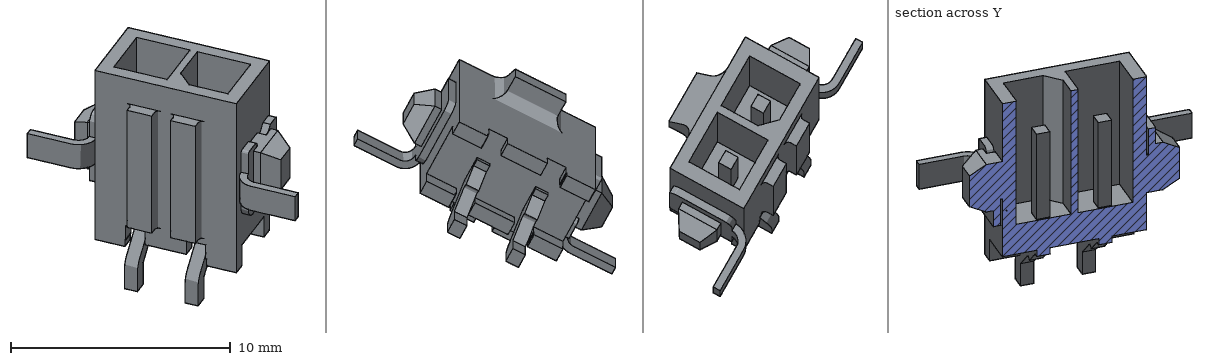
import cadquery as cq
import math


BODY_WIDTH = 7.0
BODY_DEPTH = 3.85
BODY_HEIGHT = 9.23
FRONT = -BODY_DEPTH / 2
BACK = BODY_DEPTH / 2
PITCH = 3.0
SIDES = (-1, 1)
CONTACT_XS = [side * PITCH / 2 for side in SIDES]

CAVITY_SIZE = 2.64
CAVITY_DEPTH = 6.5
KEY_CHAMFER = 0.72
CAVITY_FLOOR = BODY_HEIGHT - CAVITY_DEPTH

FOOT_THICKNESS = 0.65
RELIEF_HEIGHT = 1.13
SLOT_INNER_X = 1.02
SLOT_OUTER_X = 1.98
FOOT_INNER_X = 2.02
MIDDLE_FOOT_Z = 0.36

FRONT_REACH = 0.52
RIB_X = 1.077
RIB_WIDTH = 1.22
RIB_BOTTOM = 1.45
RIB_TOP = 7.84
RIB_FILLET = 0.21

LATCH_WIDTH = 2.6
LATCH_REACH = 1.30
LATCH_RAMP_DROP = 1.83
LATCH_TIP_HEIGHT = 1.13
LATCH_UNDERCUT = 0.09
LATCH_FILLET = 0.58

PIN_SIZE = 0.65
PIN_LENGTH = 4.5
TAIL_BOTTOM = -1.93
TAIL_THICKNESS = 0.69
TAIL_BEND_RADIUS = 0.92
TAIL_BACK_Y = FRONT + 2.40
TAIL_SHOULDER_Z = 0.80
TAIL_ROOT_Z = (RELIEF_HEIGHT + CAVITY_FLOOR) / 2
TAIL_FRONT_OFFSET = 0.01
TAIL_STEP_OFFSET = 0.92
TAIL_BACK_OFFSET = 1.27
TAIL_STEP_Z = 0.06
TAIL_STEP_PEAK = (FRONT + 1.19, 0.168)

NAIL_AXIS_Z = 4.63
NAIL_THICKNESS = 0.365
NAIL_INNER_X = -3.57
NAIL_OUTER_X = NAIL_INNER_X - NAIL_THICKNESS
TAB_BEND_INNER = 0.53
TAB_BEND_OUTER = TAB_BEND_INNER + NAIL_THICKNESS
NAIL_FRONT_Y = FRONT - FRONT_REACH + TAB_BEND_OUTER
NAIL_BACK_Y = FRONT + 3.64
NAIL_BOTTOM = 2.81
NAIL_TOP = 6.455
NAIL_TOP_RADIUS = 0.5
NAIL_FOOT_RADIUS = 0.13
TAB_HEIGHT = 1.315
TAB_END_X = -6.625

NECK_FRONT_Y = FRONT + 1.40
NECK_BACK_Y = FRONT + 2.41
NECK_TOP = 5.08
SLOT_ROUND = 0.26
SLOT_CHAMFER = 0.5
HEAD_FRONT_Y = FRONT + 0.955
HEAD_BACK_Y = FRONT + 2.96
HEAD_BOTTOM = 3.08
HEAD_TOP = 5.61
HEAD_STEP_X = -4.285
HEAD_TIP_X = -5.1
TIP_FRONT_Y = FRONT + 1.39
TIP_BACK_Y = FRONT + 2.465
TIP_BOTTOM = 3.52
TIP_TOP = 5.16


def block(x_min, x_max, y_min, y_max, z_min, z_max):
    """Box given by its limits along each axis."""
    size = (x_max - x_min, y_max - y_min, z_max - z_min)
    return cq.Workplane("XY").box(*size, centered=False).translate((x_min, y_min, z_min))


def make_housing():
    """Hollow block with feet below and two cavities open at the top."""
    half_width = BODY_WIDTH / 2
    housing = block(-half_width, half_width, FRONT, BACK, 0, BODY_HEIGHT)

    inner_front = FRONT + FOOT_THICKNESS
    inner_back = BACK - FOOT_THICKNESS
    housing = housing.cut(block(-half_width, half_width, inner_front, inner_back, 0, RELIEF_HEIGHT))
    housing = housing.cut(block(-FOOT_INNER_X, FOOT_INNER_X, FRONT, BACK, 0, MIDDLE_FOOT_Z))
    slot_width = SLOT_OUTER_X - SLOT_INNER_X
    slot_center = (SLOT_OUTER_X + SLOT_INNER_X) / 2
    for side in SIDES:
        slot_left = side * slot_center - slot_width / 2
        housing = housing.cut(block(slot_left, slot_left + slot_width, FRONT, BACK, 0, RELIEF_HEIGHT))

    for x in CONTACT_XS:
        half = CAVITY_SIZE / 2
        cavity = block(x - half, x + half, -half, half, CAVITY_FLOOR, BODY_HEIGHT)
        if x > 0:
            cavity = cavity.edges("|Z and <X and <Y").chamfer(KEY_CHAMFER)
        housing = housing.cut(cavity)
    return housing


def make_rib(x):
    """Upright front rib that flares into the housing with concave fillets."""
    half = RIB_WIDTH / 2
    front = FRONT - FRONT_REACH
    arc_middle = RIB_FILLET * (1 - math.sqrt(0.5))
    flare_y = FRONT - RIB_FILLET
    return (
        cq.Workplane("XY", origin=(x, 0, RIB_BOTTOM))
        .moveTo(-half, front)
        .lineTo(half, front)
        .lineTo(half, flare_y)
        .threePointArc((half + arc_middle, FRONT - arc_middle), (half + RIB_FILLET, FRONT))
        .lineTo(-half - RIB_FILLET, FRONT)
        .threePointArc((-half - arc_middle, FRONT - arc_middle), (-half, flare_y))
        .close()
        .extrude(RIB_TOP - RIB_BOTTOM)
    )


def make_latch():
    """Back latch: a ramp outline along X trimmed by a flared outline along Z."""
    half = LATCH_WIDTH / 2
    tip_y = BACK + LATCH_REACH
    arc_middle = LATCH_FILLET * (1 - math.sqrt(0.5))
    flare_y = BACK + LATCH_FILLET
    flare_half = half + LATCH_FILLET
    plan = (
        cq.Workplane("XY")
        .moveTo(-flare_half, BACK)
        .lineTo(flare_half, BACK)
        .threePointArc((half + arc_middle, BACK + arc_middle), (half, flare_y))
        .lineTo(half, tip_y)
        .lineTo(-half, tip_y)
        .lineTo(-half, flare_y)
        .threePointArc((-half - arc_middle, BACK + arc_middle), (-flare_half, BACK))
        .close()
        .extrude(BODY_HEIGHT)
    )

    tip_top = BODY_HEIGHT - LATCH_RAMP_DROP
    tip_bottom = tip_top - LATCH_TIP_HEIGHT
    under_z = tip_bottom + LATCH_UNDERCUT
    ramp = (
        cq.Workplane("YZ", origin=(-flare_half, 0, 0))
        .moveTo(BACK, BODY_HEIGHT)
        .lineTo(tip_y, tip_top)
        .lineTo(tip_y, tip_bottom)
        .lineTo(flare_y, under_z)
        .threePointArc((BACK + arc_middle, under_z - arc_middle), (BACK, under_z - LATCH_FILLET))
        .close()
        .extrude(2 * flare_half)
    )
    return ramp.intersect(plan)


def make_contact(x):
    """Square pin standing in the cavity and the bent tail leaving below it."""
    half = PIN_SIZE / 2
    pin = block(x - half, x + half, -half, half, RELIEF_HEIGHT, CAVITY_FLOOR + PIN_LENGTH)

    toe_y = FRONT - FRONT_REACH
    heel_y = toe_y + TAIL_THICKNESS
    bend_corner_z = -FRONT_REACH - TAIL_FRONT_OFFSET
    bend_setback = TAIL_BEND_RADIUS * math.tan(math.pi / 8)
    bend_start_z = bend_corner_z - bend_setback
    bend_end_z = bend_corner_z + bend_setback * math.sqrt(0.5)
    root_front_y = FRONT + RELIEF_HEIGHT + TAIL_FRONT_OFFSET
    bend_middle = (
        toe_y + TAIL_BEND_RADIUS * (1 - math.cos(math.pi / 8)),
        bend_start_z + TAIL_BEND_RADIUS * math.sin(math.pi / 8),
    )
    step_front_y = FRONT + TAIL_STEP_Z + TAIL_STEP_OFFSET
    step_back_y = FRONT + TAIL_STEP_Z + TAIL_BACK_OFFSET
    tail = (
        cq.Workplane("YZ", origin=(x - half, 0, 0))
        .moveTo(toe_y, TAIL_BOTTOM)
        .lineTo(toe_y, bend_start_z)
        .threePointArc(bend_middle, (FRONT + bend_end_z + TAIL_FRONT_OFFSET, bend_end_z))
        .lineTo(root_front_y, RELIEF_HEIGHT)
        .lineTo(root_front_y, TAIL_ROOT_Z)
        .lineTo(TAIL_BACK_Y, TAIL_ROOT_Z)
        .lineTo(TAIL_BACK_Y, TAIL_SHOULDER_Z)
        .lineTo(FRONT + TAIL_SHOULDER_Z + TAIL_BACK_OFFSET, TAIL_SHOULDER_Z)
        .lineTo(step_back_y, TAIL_STEP_Z)
        .threePointArc(TAIL_STEP_PEAK, (step_front_y, TAIL_STEP_Z))
        .lineTo(heel_y, heel_y - FRONT - TAIL_STEP_OFFSET)
        .lineTo(heel_y, TAIL_BOTTOM)
        .close()
        .extrude(PIN_SIZE)
    )
    return pin.union(tail)


def make_nail():
    """Solder nail on the -X side: slotted plate and front tab bent outwards."""
    plate = block(NAIL_OUTER_X, NAIL_INNER_X, NAIL_FRONT_Y, NAIL_BACK_Y, NAIL_BOTTOM, NAIL_TOP)
    plate = plate.edges("|X and >Z").fillet(NAIL_TOP_RADIUS)
    plate = plate.edges("|X and <Z").fillet(NAIL_FOOT_RADIUS)
    slot = block(NAIL_OUTER_X, NAIL_INNER_X, NECK_FRONT_Y, NECK_BACK_Y, NAIL_BOTTOM, NECK_TOP)
    plate = plate.cut(slot)
    middle_x = (NAIL_INNER_X + NAIL_OUTER_X) / 2
    front_lip = cq.NearestToPointSelector((middle_x, NECK_FRONT_Y, NAIL_BOTTOM))
    back_lip = cq.NearestToPointSelector((middle_x, NECK_BACK_Y, NAIL_BOTTOM))
    plate = plate.edges(front_lip).fillet(SLOT_ROUND)
    plate = plate.edges(back_lip).chamfer(SLOT_CHAMFER)

    front = FRONT - FRONT_REACH
    bend_x = NAIL_INNER_X - TAB_BEND_OUTER
    bend_y = front + TAB_BEND_OUTER
    diagonal = math.sqrt(0.5)
    tab = (
        cq.Workplane("XY", origin=(0, 0, NAIL_AXIS_Z - TAB_HEIGHT / 2))
        .moveTo(TAB_END_X, front)
        .lineTo(bend_x, front)
        .threePointArc(
            (bend_x + TAB_BEND_OUTER * diagonal, bend_y - TAB_BEND_OUTER * diagonal),
            (NAIL_INNER_X, bend_y),
        )
        .lineTo(NAIL_INNER_X, NECK_FRONT_Y)
        .lineTo(NAIL_OUTER_X, NECK_FRONT_Y)
        .lineTo(NAIL_OUTER_X, bend_y)
        .threePointArc(
            (bend_x + TAB_BEND_INNER * diagonal, bend_y - TAB_BEND_INNER * diagonal),
            (bend_x, front + NAIL_THICKNESS),
        )
        .lineTo(TAB_END_X, front + NAIL_THICKNESS)
        .close()
        .extrude(TAB_HEIGHT)
    )
    return plate.union(tab)


def make_boss():
    """Boss on the -X side: neck through the nail slot and tapered head outside."""
    neck = block(NAIL_OUTER_X, -BODY_WIDTH / 2, NECK_FRONT_Y, NECK_BACK_Y, HEAD_BOTTOM, NECK_TOP)
    head = block(HEAD_STEP_X, NAIL_OUTER_X, HEAD_FRONT_Y, HEAD_BACK_Y, HEAD_BOTTOM, HEAD_TOP)
    base_center = ((HEAD_FRONT_Y + HEAD_BACK_Y) / 2, (HEAD_BOTTOM + HEAD_TOP) / 2)
    tip_center = ((TIP_FRONT_Y + TIP_BACK_Y) / 2, (TIP_BOTTOM + TIP_TOP) / 2)
    taper = (
        cq.Workplane("YZ", origin=(HEAD_STEP_X, 0, 0))
        .center(*base_center)
        .rect(HEAD_BACK_Y - HEAD_FRONT_Y, HEAD_TOP - HEAD_BOTTOM)
        .workplane(offset=HEAD_TIP_X - HEAD_STEP_X)
        .center(tip_center[0] - base_center[0], tip_center[1] - base_center[1])
        .rect(TIP_BACK_Y - TIP_FRONT_Y, TIP_TOP - TIP_BOTTOM)
        .loft(ruled=True)
    )
    return neck.union(head).union(taper)


result = make_housing().union(make_latch())
for rib_side in SIDES:
    result = result.union(make_rib(rib_side * RIB_X))
for contact_x in CONTACT_XS:
    result = result.union(make_contact(contact_x))

side_fitting = make_boss().union(make_nail())
turned_fitting = side_fitting.rotate((0, 0, NAIL_AXIS_Z), (0, 1, NAIL_AXIS_Z), 180)
result = result.union(side_fitting).union(turned_fitting)